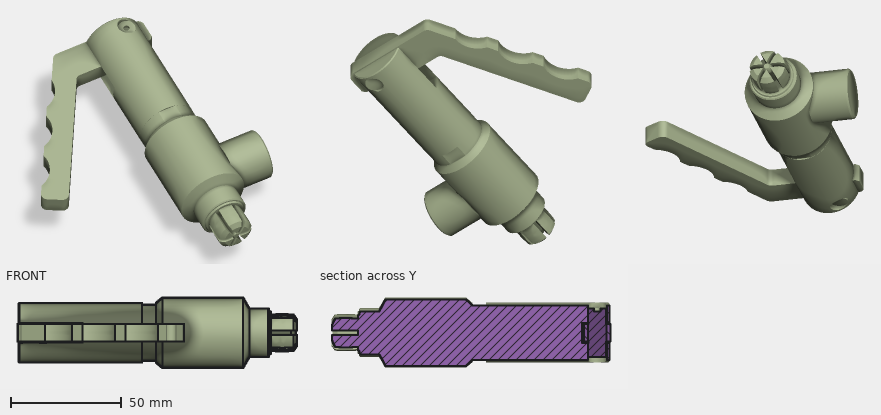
import cadquery as cq
import math


total_length = 125.9
tube_start = 0.4
tube_end = 56.1
neck_end = 62.3
barrel_start = 65.2
barrel_end = 101.7
nose_start = 104.5
nose_end = 113.4
collar_end = 114.2
tube_diameter = 27.0
neck_diameter = 26.8
barrel_diameter = 31.7
nose_diameter = 22.0
collar_base_diameter = 19.6
collar_end_diameter = 18.9
edge_chamfer = 0.5
neck_flat_width = 25.4

port_diameter = 22.9
port_x = 89.4
port_base_y = 12.5
port_end_y = 31.3
port_chamfer = 0.8

crown_end_radius = 8.2
crown_middle_radius = 8.4
crown_chamfer_start = 124.4
crown_tip_radius = 6.0
crown_slot_count = 6
crown_slot_width = 1.9
core_diameter = 5.0
core_cone_start = 123.2
core_end = 125.5
core_end_radius = 1.3

lever_thickness = 8.0
lever_clearance = 0.4
head_top_y = 15.5
head_width = 12.2
head_chamfer = 1.5
shank_width = 15.5
arm_angle = 30.0
elbow_y = -24.9
arm_root_width = 11.2
arm_width = 12.6
arm_length = 70.0
lever_corner_radius = 3.0
elbow_radius = 2.5

grip_count = 3
grip_pitch = 22.3
first_grip = 9.3
grip_radius = 12.6
grip_depth = 3.3

slot_width = lever_thickness + 2 * lever_clearance
short_slot_end = 12.8
long_slot_end = 29.2

pin_x = 6.0
pin_y = 5.0
pin_diameter = 8.2
pin_hole_diameter = 8.3
pin_half_length = 11.0
socket_diameter = 2.8
socket_depth = 1.3


def stepped_body():
    """Tube, neck, barrel, nose and collar as one turned solid about X."""
    tube_radius = tube_diameter / 2
    nose_radius = nose_diameter / 2
    outline = (
        cq.Workplane("XY")
        .moveTo(tube_start, 0)
        .lineTo(tube_start, tube_radius - edge_chamfer)
        .lineTo(tube_start + edge_chamfer, tube_radius)
        .lineTo(tube_end, tube_radius)
        .lineTo(tube_end, neck_diameter / 2)
        .lineTo(neck_end, neck_diameter / 2)
        .lineTo(barrel_start, barrel_diameter / 2)
        .lineTo(barrel_end, barrel_diameter / 2)
        .lineTo(nose_start, nose_radius)
        .lineTo(nose_end - edge_chamfer, nose_radius)
        .lineTo(nose_end, nose_radius - edge_chamfer)
        .lineTo(nose_end, collar_base_diameter / 2)
        .lineTo(collar_end, collar_end_diameter / 2)
        .lineTo(collar_end, 0)
        .close()
    )
    return outline.revolve(360, (0, 0, 0), (1, 0, 0))


def neck_flat_cutters():
    """Blocks that leave two parallel flats on the neck, above and below the axis."""
    size = tube_diameter
    blocks = cq.Workplane("XY")
    for side in (1, -1):
        center_z = side * (neck_flat_width + size) / 2
        block = cq.Workplane("XY").box(neck_end - tube_end, size, size)
        blocks = blocks.add(block.translate(((tube_end + neck_end) / 2, 0, center_z)))
    return blocks.combine()


def side_port():
    return (
        cq.Workplane("XZ", origin=(port_x, port_base_y, 0))
        .circle(port_diameter / 2)
        .extrude(port_base_y - port_end_y)
        .faces(">Y")
        .chamfer(port_chamfer)
    )


def crowned_end():
    """Slightly barrel-shaped end, split by radial slots down to a solid core."""
    crown = (
        cq.Workplane("XY")
        .moveTo(collar_end, 0)
        .lineTo(collar_end, crown_end_radius)
        .threePointArc(
            ((collar_end + crown_chamfer_start) / 2, crown_middle_radius),
            (crown_chamfer_start, crown_end_radius),
        )
        .lineTo(total_length, crown_tip_radius)
        .lineTo(total_length, 0)
        .close()
        .revolve(360, (0, 0, 0), (1, 0, 0))
    )
    slot_length = total_length - collar_end
    slot = cq.Workplane("XY", origin=(collar_end, 0, 0)).box(
        slot_length, nose_diameter / 2, crown_slot_width, centered=(False, False, True)
    )
    for index in range(crown_slot_count):
        crown = crown.cut(slot.rotate((0, 0, 0), (1, 0, 0), index * 360 / crown_slot_count))

    core = (
        cq.Workplane("XY")
        .moveTo(collar_end, 0)
        .lineTo(collar_end, core_diameter / 2)
        .lineTo(core_cone_start, core_diameter / 2)
        .lineTo(core_end, core_end_radius)
        .lineTo(core_end, 0)
        .close()
        .revolve(360, (0, 0, 0), (1, 0, 0))
    )
    return crown.union(core)


def lever_slot():
    """Slot open at the tube's end: short on the +Y side of the axis, long on the -Y side."""
    short_side = cq.Workplane("XY").box(
        short_slot_end, barrel_diameter, slot_width, centered=(False, True, True)
    )
    long_side = cq.Workplane("XY", origin=(0, -barrel_diameter / 2, 0)).box(
        long_slot_end, barrel_diameter / 2, slot_width, centered=(False, False, True)
    )
    return short_side.union(long_side)


def pin_cylinder(diameter, half_length):
    return (
        cq.Workplane("XY", origin=(pin_x, pin_y, 0))
        .circle(diameter / 2)
        .extrude(half_length, both=True)
    )


def make_housing():
    return (
        stepped_body()
        .cut(neck_flat_cutters())
        .union(side_port())
        .union(crowned_end())
        .cut(lever_slot())
        .cut(pin_cylinder(pin_hole_diameter, tube_diameter / 2))
    )


def arm_point(along, across):
    """Point measured from the elbow: along the arm, and across it toward its lower edge."""
    slope = math.radians(arm_angle)
    x = shank_width + along * math.cos(slope) - across * math.sin(slope)
    y = elbow_y - along * math.sin(slope) - across * math.cos(slope)
    return x, y


def lever_plate(points):
    return (
        cq.Workplane("XY", origin=(0, 0, -lever_thickness / 2))
        .polyline(points)
        .close()
        .extrude(lever_thickness)
    )


def round_edge(plate, point, radius):
    """Round the upright edge of the plate that stands at the given point."""
    return plate.edges(cq.selectors.NearestToPointSelector((*point, 0))).fillet(radius)


def make_lever():
    slope = math.radians(arm_angle)
    heel_along = (arm_root_width * math.sin(slope) - shank_width) / math.cos(slope)
    head_corner = (0, head_top_y)
    heel = arm_point(heel_along, arm_root_width)
    elbow = arm_point(0, 0)
    tip_upper = arm_point(arm_length, 0)
    tip_lower = arm_point(arm_length, arm_width)

    plate = lever_plate([
        head_corner,
        heel,
        arm_point(first_grip, arm_root_width),
        arm_point(first_grip, arm_width),
        tip_lower,
        tip_upper,
        elbow,
        (shank_width, -lever_clearance),
        (head_width, -lever_clearance),
        (head_width, head_top_y - head_chamfer),
        (head_width - head_chamfer, head_top_y),
    ])
    for corner in (head_corner, heel, tip_upper, tip_lower):
        plate = round_edge(plate, corner, lever_corner_radius)
    plate = round_edge(plate, elbow, elbow_radius)

    grip_center_across = arm_width - grip_depth + grip_radius
    for index in range(grip_count):
        center = arm_point(first_grip + index * grip_pitch, grip_center_across)
        grip = (
            cq.Workplane("XY")
            .center(*center)
            .circle(grip_radius)
            .extrude(lever_thickness, both=True)
        )
        plate = plate.cut(grip)
    return plate.cut(pin_cylinder(pin_diameter, lever_thickness))


def make_pin():
    """Plain pin with a small round socket in its upper end."""
    return (
        pin_cylinder(pin_diameter, pin_half_length)
        .faces(">Z")
        .workplane(origin=(pin_x, pin_y, 0))
        .hole(socket_diameter, socket_depth)
    )


housing = make_housing()
lever = make_lever()
pin = make_pin()

result = cq.Compound.makeCompound([housing.val(), lever.val(), pin.val()])